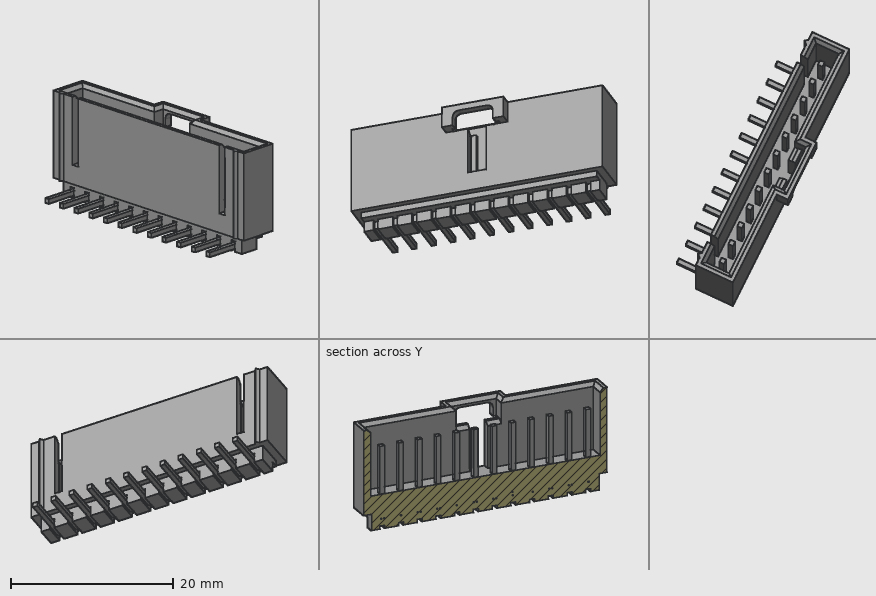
import cadquery as cq


length = 33.02
height = 13.6
depth = 10.3

shroud_depth = 5.1
shroud_bottom = 2.18
rim = 0.5
lead_in = 0.5
wall = rim + lead_in
cavity_depth = 8.9
floor = height - cavity_depth

tab_reach = 1.52
tab_width = 8.1
tab_height = 2.77
tab_bottom = height - tab_height
tab_back = shroud_depth + tab_reach
window_width = 5.28
window_top_gap = 0.83
window_radius = 0.83
latch_slot_width = 2.45

slot_width = 1.0
slot_offset = 12.7
rib_width = 0.65
rib_height = 0.4
rib_offset = 15.1

base_length = 30.95
base_front = 0.7
base_back = 4.3
comb_back = 3.3
comb_height = 1.4

pin_count = 12
pin_pitch = 2.54
pin_size = 0.63
pin_y = 2.48
pin_bottom = 0.4
pin_tip_gap = 2.5
pin_end = tab_back - depth
pin_positions = [(i - (pin_count - 1) / 2) * pin_pitch for i in range(pin_count)]


def block(width, y_range, z_range, x=0.0):
    """Box centred on x, spanning the given Y and Z ranges."""
    y0, y1 = y_range
    z0, z1 = z_range
    return (
        cq.Workplane("XY")
        .box(width, y1 - y0, z1 - z0, centered=(True, False, False))
        .translate((x, y0, z0))
    )


def lead_in_funnel(width, y_range, top):
    """Opening of the given size at its top, narrowing by the lead-in on every side."""
    y0, y1 = y_range
    return (
        cq.Workplane("XY", origin=(0, (y0 + y1) / 2, top))
        .rect(width, y1 - y0)
        .workplane(offset=-lead_in)
        .rect(width - 2 * lead_in, y1 - y0 - 2 * lead_in)
        .loft(ruled=True)
    )


def make_shroud():
    body = block(length, (0, shroud_depth), (shroud_bottom, height))
    tab = block(tab_width, (shroud_depth, tab_back), (tab_bottom, height))
    cavity = block(length - 2 * wall, (wall, shroud_depth - wall), (floor, height))
    cavity_lead_in = lead_in_funnel(length - 2 * rim, (rim, shroud_depth - rim), height)

    tab_opening = block(tab_width - 2 * wall, (wall, tab_back - wall), (tab_bottom, height))
    tab_lead_in = lead_in_funnel(tab_width - 2 * rim, (rim, tab_back - rim), height)
    tab_lead_in = tab_lead_in.intersect(
        block(tab_width, (shroud_depth / 2, tab_back), (tab_bottom, height))
    )
    lowered_lead_in = (
        cq.Workplane("YZ")
        .moveTo(shroud_depth - rim, tab_bottom)
        .lineTo(shroud_depth - wall, tab_bottom)
        .lineTo(shroud_depth - wall, tab_bottom - lead_in)
        .close()
        .extrude(tab_width / 2 - wall, both=True)
    )
    latch_slot = block(latch_slot_width, (shroud_depth - wall, shroud_depth), (floor, height))

    shroud = body.union(tab)
    for opening in (cavity, cavity_lead_in, tab_opening, tab_lead_in, lowered_lead_in, latch_slot):
        shroud = shroud.cut(opening)

    for side in (-1, 1):
        slot = block(slot_width, (0, wall), (floor, height), side * slot_offset)
        shroud = shroud.cut(slot)
    return shroud.cut(make_tab_window())


def make_tab_window():
    """Window in the tab's back wall, open below, with rounded upper corners."""
    lintel = height - window_top_gap
    return (
        block(window_width, (tab_back - wall, tab_back), (tab_bottom, lintel))
        .edges("|Y and >Z")
        .fillet(window_radius)
    )


def make_rib(x):
    """Triangular rib standing on the front wall over the shroud's full height."""
    return (
        cq.Workplane("XY", origin=(x, 0, shroud_bottom))
        .moveTo(-rib_width / 2, 0)
        .lineTo(0, -rib_height)
        .lineTo(rib_width / 2, 0)
        .close()
        .extrude(height - shroud_bottom)
    )


def make_base():
    """Plate under the shroud with a comb that has a notch around each pin."""
    base = block(base_length, (base_front, base_back), (comb_height, shroud_bottom))
    base = base.union(block(base_length, (base_front, comb_back), (0, comb_height)))
    for x in pin_positions:
        base = base.cut(block(pin_size, (base_front, comb_back), (0, comb_height), x))
    return base


def make_pin(x):
    """L-shaped square pin with a sloped inner corner at the bend."""
    leg_front = pin_y - pin_size / 2
    leg_back = pin_y + pin_size / 2
    pin_top = pin_bottom + pin_size
    bend = comb_height - pin_top
    tip = height - pin_tip_gap
    return (
        cq.Workplane("YZ", origin=(x, 0, 0))
        .moveTo(pin_end, pin_bottom)
        .lineTo(leg_back, pin_bottom)
        .lineTo(leg_back, tip)
        .lineTo(leg_front, tip)
        .lineTo(leg_front, pin_top + bend)
        .lineTo(leg_front - bend, pin_top)
        .lineTo(pin_end, pin_top)
        .close()
        .extrude(pin_size / 2, both=True)
    )


result = make_shroud().union(make_base())
for side in (-1, 1):
    result = result.union(make_rib(side * rib_offset))
for pin_x in pin_positions:
    result = result.union(make_pin(pin_x))